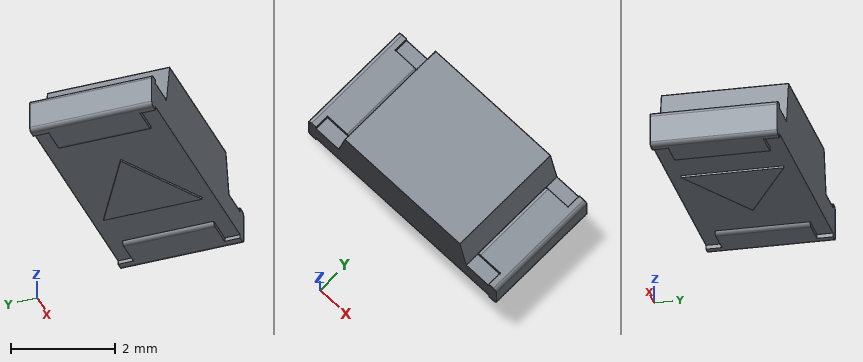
import cadquery as cq
import math

length = 5.0
width = 2.5
height = 1.5

terminal_height = 0.7
plating = 0.08
terminal_reach = 0.8
bend_radius = 0.08
lip_radius = 0.075
notch_start = 0.2
notch_width = 0.315

lens_inset = 0.17

mark_length = 1.75
mark_width = 2 * mark_length / math.sqrt(3)
mark_thickness = 0.04

board_top = terminal_height - plating
lens_length = length - 2 * terminal_reach


def make_board():
    board_length = length - 2 * plating
    board_thickness = terminal_height - 2 * plating
    board = cq.Workplane("XY").box(board_length, width, board_thickness, centered=(True, True, False))
    return board.translate((0, 0, plating))


def make_terminal():
    """Left terminal: a rounded strip with its four inner corners cut back to the board."""
    strip = cq.Workplane("XY").box(terminal_reach, width, terminal_height, centered=(False, True, False))
    strip = strip.edges("|Y and <X").fillet(bend_radius)
    strip = strip.edges("|Y and >X").fillet(lip_radius)
    notch_length = terminal_reach - notch_start
    notch_y = (width - notch_width) / 2
    for z in (0, board_top):
        for y in (-notch_y, notch_y):
            notch = cq.Workplane("XY").box(notch_length, notch_width, plating, centered=(False, True, False))
            strip = strip.cut(notch.translate((notch_start, y, z)))
    return strip.translate((-length / 2, 0, 0))


def make_lens():
    bottom_half = lens_length / 2
    top_half = bottom_half - lens_inset
    profile = [
        (-bottom_half, board_top),
        (bottom_half, board_top),
        (top_half, height),
        (-top_half, height),
    ]
    return cq.Workplane("XZ").polyline(profile).close().extrude(width / 2, both=True)


def make_polarity_mark():
    """Triangle pointing toward -X, on the underside of the board."""
    corners = [
        (mark_length / 2, -mark_width / 2),
        (-mark_length / 2, 0),
        (mark_length / 2, mark_width / 2),
    ]
    mark = cq.Workplane("XY").polyline(corners).close().extrude(mark_thickness)
    return mark.translate((0, 0, plating - mark_thickness))


left_terminal = make_terminal()
right_terminal = left_terminal.mirror("YZ")

result = make_board().union(left_terminal).union(right_terminal)
result = result.union(make_lens()).union(make_polarity_mark())